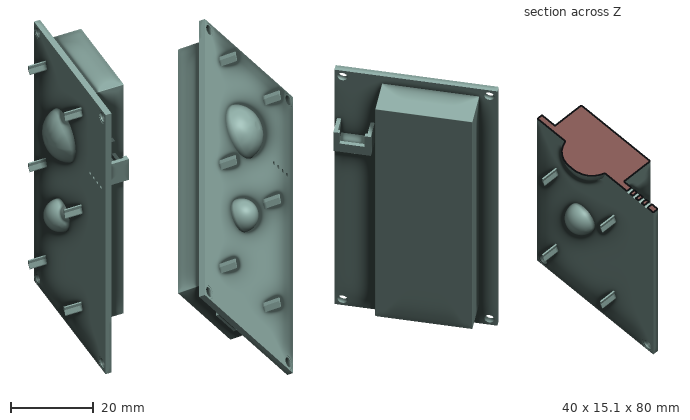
import cadquery as cq

board_width = 40.0
board_height = 80.0
board_thickness = 1.6

mount_inset = 2.0
mount_hole_diameter = 2.5
mount_ring_diameter = 3.5
mount_ring_depth = 0.1

pin_hole_count = 4
pin_hole_diameter = 1.0
pin_hole_pitch = 2.0
pin_row_x = 14.4
pin_row_z = 16.0

front_reach = 4.6
dome_root = board_thickness / 2
large_dome_x = -3.5
large_dome_z = 16.7
large_dome_radius = 6.9
large_dome_tip_radius = 1.1
large_dome_mid_radius = 5.0
large_dome_mid_reach = 3.1
small_dome_x = -4.2
small_dome_z = -8.2
small_dome_diameter = 8.2

blade_columns = (-13.6, 6.3)
blade_top_z = 32.6
blade_row_pitch = 30.0
blade_rows = 3
blade_thickness = 0.4
blade_width = 0.9
blade_bend_drop = 1.0
blade_drop = 2.2
blade_slant_thickness = 0.2

housing_left = -15.5
housing_width = 23.8
housing_depth = 8.9
housing_top_z = 37.4
housing_height = 70.7
housing_edge_radius = 0.12
housing_bottom_z = housing_top_z - housing_height

connector_x = 14.7
connector_width = 9.2
connector_depth = 5.0
connector_height = 6.4
connector_gap = 0.8
socket_width = 7.2
socket_wall = 1.0
socket_drop = 4.8
notch_drop = 3.6
notch_width = 6.2

block_width = 8.0
block_depth = 3.0
block_height = 4.1


def rear_box(left, width, bottom, height, start, depth):
    """Box spanning width in X, depth in Y and height in Z from (left, start, bottom)."""
    return cq.Workplane("XY").box(width, depth, height, centered=False).translate((left, start, bottom))


def front_cylinder(x, z, diameter, depth):
    """Cylinder running from the front face into the board."""
    return cq.Workplane("XZ", origin=(x, 0, z)).circle(diameter / 2).extrude(-depth)


def make_board():
    """Board with its ringed mounting holes and row of pin holes."""
    board = rear_box(-board_width / 2, board_width, -board_height / 2, board_height, 0, board_thickness)
    for side_x in (-1, 1):
        for side_z in (-1, 1):
            x = side_x * (board_width / 2 - mount_inset)
            z = side_z * (board_height / 2 - mount_inset)
            board = board.cut(front_cylinder(x, z, mount_hole_diameter, board_thickness))
            board = board.cut(front_cylinder(x, z, mount_ring_diameter, mount_ring_depth))
    for index in range(pin_hole_count):
        x = pin_row_x + (index - (pin_hole_count - 1) / 2) * pin_hole_pitch
        board = board.cut(front_cylinder(x, pin_row_z, pin_hole_diameter, board_thickness))
    return board


def make_large_dome():
    """Flat-tipped dome, revolved about the Y direction."""
    profile = (
        cq.Workplane("XY")
        .moveTo(0, dome_root)
        .lineTo(large_dome_radius, dome_root)
        .lineTo(large_dome_radius, 0)
        .threePointArc((large_dome_mid_radius, -large_dome_mid_reach), (large_dome_tip_radius, -front_reach))
        .lineTo(0, -front_reach)
        .close()
    )
    return profile.revolve(360, (0, 0, 0), (0, 1, 0)).translate((large_dome_x, 0, large_dome_z))


def make_small_dome():
    """Short cylinder capped by a hemisphere, revolved about the Y direction."""
    radius = small_dome_diameter / 2
    shoulder = front_reach - radius
    profile = (
        cq.Workplane("XY")
        .moveTo(0, dome_root)
        .lineTo(radius, dome_root)
        .lineTo(radius, -shoulder)
        .radiusArc((0, -front_reach), radius)
        .close()
    )
    return profile.revolve(360, (0, 0, 0), (0, 1, 0)).translate((small_dome_x, 0, small_dome_z))


def make_blade(left, top):
    """Blade with a straight upper part and a lower part slanting toward +X."""
    outline = [
        (0, 0),
        (blade_thickness, 0),
        (blade_thickness, blade_slant_thickness - blade_bend_drop),
        (blade_width, blade_slant_thickness - blade_drop),
        (blade_width, -blade_drop),
        (0, -blade_bend_drop),
    ]
    return cq.Workplane("XZ", origin=(left, 0, top)).polyline(outline).close().extrude(front_reach)


def make_connector():
    """Connector body with its socket and notch."""
    left = connector_x - connector_width / 2
    bottom = pin_row_z + pin_hole_diameter / 2 + connector_gap
    top = bottom + connector_height
    body = rear_box(left, connector_width, bottom, connector_height, board_thickness, connector_depth)
    socket_left = connector_x - socket_width / 2
    socket_depth = connector_depth - socket_wall
    socket = rear_box(socket_left, socket_width, top - socket_drop, socket_drop, board_thickness, socket_depth)
    notch_left = connector_x - notch_width / 2
    notch = rear_box(notch_left, notch_width, top - notch_drop, notch_drop, board_thickness, connector_depth)
    return body.cut(socket).cut(notch)


def make_housing():
    """Housing with slightly rounded edges, apart from those on the board."""
    housing = rear_box(
        housing_left, housing_width, housing_bottom_z, housing_height, board_thickness, housing_depth
    )
    return housing.edges("not(<Y)").fillet(housing_edge_radius)


def make_block():
    """Block against the lower end of the housing, centred on it in X."""
    left = housing_left + (housing_width - block_width) / 2
    return rear_box(
        left, block_width, housing_bottom_z - block_height, block_height, board_thickness, block_depth
    )


result = make_board().union(make_housing()).union(make_block()).union(make_connector())
result = result.union(make_large_dome()).union(make_small_dome())
for column_x in blade_columns:
    for row in range(blade_rows):
        result = result.union(make_blade(column_x, blade_top_z - row * blade_row_pitch))